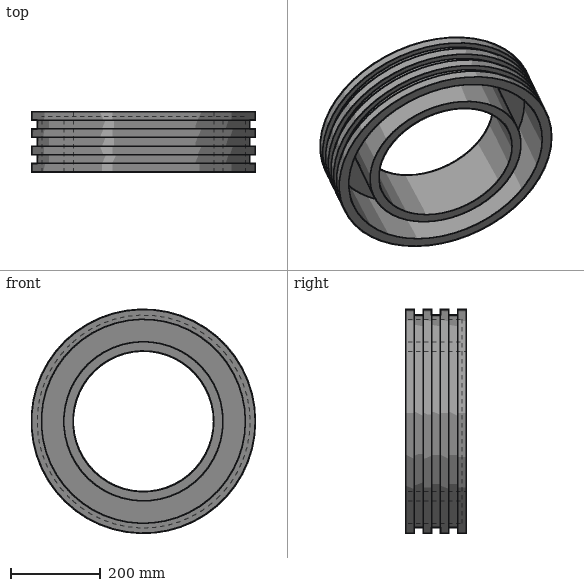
import cadquery as cq

outer_diameter = 500.0
groove_diameter = 475.0
rim_inner_diameter = 455.0
hub_diameter = 355.0
bore_diameter = 313.0
width = 135.0
groove_count = 3
web_thickness = 10.0

band_width = width / (2 * groove_count + 1)
front_y = -width / 2
back_y = width / 2

def ring(outer, inner, start_y, length):
    """Ring about the Y axis, extending from start_y toward +Y."""
    return (
        cq.Workplane("XZ", origin=(0, start_y, 0))
        .circle(outer / 2)
        .circle(inner / 2)
        .extrude(-length)
    )

hub = ring(hub_diameter, bore_diameter, front_y, width)
web = ring(rim_inner_diameter, hub_diameter, back_y - web_thickness, web_thickness)
rim = ring(outer_diameter, rim_inner_diameter, front_y, width)

for index in range(groove_count):
    groove_y = front_y + (2 * index + 1) * band_width
    rim = rim.cut(ring(outer_diameter, groove_diameter, groove_y, band_width))

result = hub.union(web).union(rim)